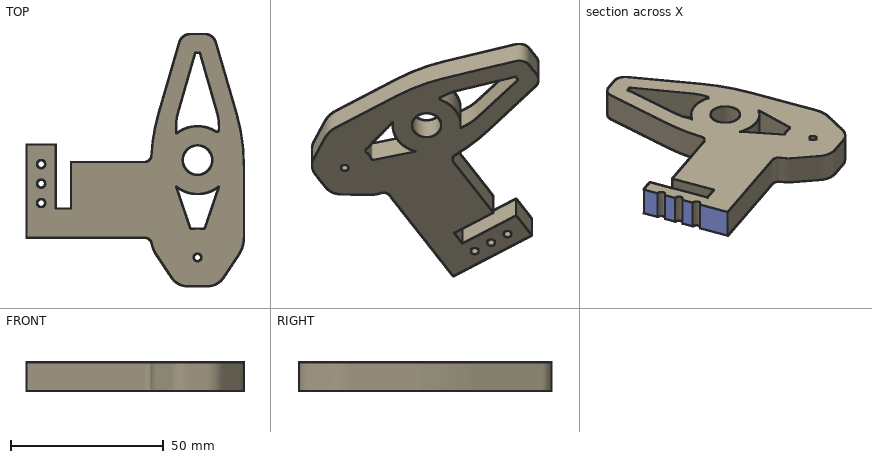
import cadquery as cq
import math

thickness = 9.5
tip_y = 41.3
body_half_width = 15.2

nose_half_width = 5.2
nose_shoulder_y = 6.9
nose_radius = 4.0
nose_shoulder_radius = 60.3
tail_half_width = 6.6
tail_shoulder_y = -28.4
tail_radius = 6.4
tail_shoulder_radius = 10.0

arm_end_x = -55.9
arm_top_y = -0.6
arm_bottom_y = -25.4
arm_root_radius = 2.2
tab_top_y = 5.1
tab_width = 9.6
slot_width = 4.95
slot_bottom_y = -15.8

hub_diameter = 9.6
tail_hole_y = -31.8
tail_hole_diameter = 2.4
tab_hole_diameter = 2.6
tab_hole_pitch = 6.35
tab_hole_middle_y = -7.7

ring_radius = 11.15
window_half_width = 6.9
nose_window_top_y = 35.0
nose_window_top_half_width = 0.75
nose_window_shoulder_y = 13.45
nose_window_shoulder_radius = 14.0
nose_window_corner_radius = 0.6
tail_window_bottom_half_width = 2.2
tail_window_end_radius = 9.5
tail_window_corner_radius = 0.6

selection_reach = 0.1
root_search_margin = 0.8


def fillet_upright_edges(solid, points, radius):
    """Round the vertical edges passing through the given XY points."""
    for x, y in points:
        box = cq.selectors.BoxSelector(
            (x - selection_reach, y - selection_reach, -selection_reach),
            (x + selection_reach, y + selection_reach, thickness + selection_reach),
        )
        solid = solid.edges("|Z").edges(box).fillet(radius)
    return solid


def mirrored(x, y):
    return [(x, y), (-x, y)]


def disc(radius, y=0):
    return cq.Workplane("XY").center(0, y).circle(radius).extrude(thickness)


def make_body():
    right_side = [
        (tail_half_width, -tip_y),
        (body_half_width, tail_shoulder_y),
        (body_half_width, nose_shoulder_y),
        (nose_half_width, tip_y),
    ]
    left_side = [(-x, y) for x, y in reversed(right_side)]
    body = cq.Workplane("XY").polyline(right_side + left_side).close().extrude(thickness)
    radii = [tail_radius, tail_shoulder_radius, nose_shoulder_radius, nose_radius]
    for corner, radius in zip(right_side, radii):
        body = fillet_upright_edges(body, mirrored(*corner), radius)
    return body


def make_arm():
    tab_right_x = arm_end_x + tab_width
    slot_right_x = tab_right_x + slot_width
    outline = [
        (0, arm_bottom_y),
        (arm_end_x, arm_bottom_y),
        (arm_end_x, tab_top_y),
        (tab_right_x, tab_top_y),
        (tab_right_x, slot_bottom_y),
        (slot_right_x, slot_bottom_y),
        (slot_right_x, arm_top_y),
        (0, arm_top_y),
    ]
    return cq.Workplane("XY").polyline(outline).close().extrude(thickness)


def make_nose_window():
    shoulders = mirrored(window_half_width, nose_window_shoulder_y)
    outline = [
        (window_half_width, 0),
        shoulders[0],
        (nose_window_top_half_width, nose_window_top_y),
        (-nose_window_top_half_width, nose_window_top_y),
        shoulders[1],
        (-window_half_width, 0),
    ]
    window = cq.Workplane("XY").polyline(outline).close().extrude(thickness)
    window = fillet_upright_edges(window, shoulders, nose_window_shoulder_radius)
    window = window.cut(disc(ring_radius))
    corner_y = math.sqrt(ring_radius**2 - window_half_width**2)
    return fillet_upright_edges(window, [(window_half_width, corner_y)], nose_window_corner_radius)


def make_tail_window():
    top_y = -math.sqrt(ring_radius**2 - window_half_width**2)
    end_rise = math.sqrt(tail_window_end_radius**2 - tail_window_bottom_half_width**2)
    bottom_y = tail_hole_y + end_rise
    window = (
        cq.Workplane("XY")
        .moveTo(-window_half_width, top_y)
        .threePointArc((0, -ring_radius), (window_half_width, top_y))
        .lineTo(tail_window_bottom_half_width, bottom_y)
        .threePointArc(
            (0, tail_hole_y + tail_window_end_radius),
            (-tail_window_bottom_half_width, bottom_y),
        )
        .close()
        .extrude(thickness)
    )
    corners = mirrored(tail_window_bottom_half_width, bottom_y)
    return fillet_upright_edges(window, corners, tail_window_corner_radius)


def make_tab_holes():
    hole_x = arm_end_x + tab_width / 2
    centres = [(hole_x, tab_hole_middle_y + step * tab_hole_pitch) for step in (-1, 0, 1)]
    return cq.Workplane("XY").pushPoints(centres).circle(tab_hole_diameter / 2).extrude(thickness)


result = make_body().union(make_arm())
for root_y in (arm_top_y, arm_bottom_y):
    root = cq.selectors.BoxSelector(
        (-body_half_width - root_search_margin, root_y - selection_reach, 0),
        (-body_half_width + root_search_margin, root_y + selection_reach, thickness),
    )
    result = result.edges("|Z").edges(root).fillet(arm_root_radius)

result = result.cut(make_nose_window()).cut(make_tail_window()).cut(make_tab_holes())
result = result.cut(disc(hub_diameter / 2)).cut(disc(tail_hole_diameter / 2, tail_hole_y))